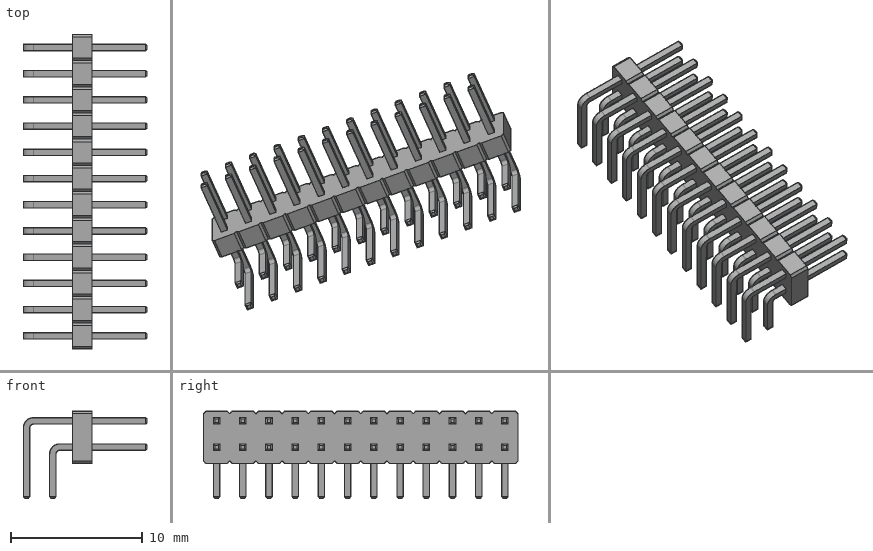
import cadquery as cq

length = 24.0
pin_count = 12
pitch = length / pin_count
row_spacing = pitch
housing_depth = 1.5
housing_height = 2 * row_spacing
cell_chamfer = 0.2

pin_width = 0.5
bend_inner_radius = 0.3
tip_chamfer = 0.12
overall_depth = 9.45
overall_height = 6.65
upper_tail_overhang = 3.75
upper_row_drop = 0.75

housing_back = -housing_depth / 2
upper_tail_x = housing_back - upper_tail_overhang + pin_width / 2
contact_end_x = upper_tail_x - pin_width / 2 + overall_depth
tail_end_z = housing_height - overall_height
upper_row_z = housing_height - upper_row_drop


def make_housing_cell():
    """One pitch of the housing, with its four edges along X chamfered."""
    cell = cq.Workplane("XY").box(housing_depth, pitch, housing_height, centered=(True, True, False))
    return cell.edges("|X").chamfer(cell_chamfer)


def make_pin(tail_x, contact_z):
    """A bent pin centred on Y = 0, given its tail axis and its contact axis."""
    half = pin_width / 2
    bend_outer_radius = bend_inner_radius + pin_width
    outer_x = tail_x - half
    inner_x = tail_x + half
    top_z = contact_z + half
    under_z = contact_z - half
    pin = (
        cq.Workplane("XZ")
        .moveTo(outer_x, tail_end_z)
        .lineTo(outer_x, top_z - bend_outer_radius)
        .radiusArc((outer_x + bend_outer_radius, top_z), bend_outer_radius)
        .lineTo(contact_end_x, top_z)
        .lineTo(contact_end_x, under_z)
        .lineTo(inner_x + bend_inner_radius, under_z)
        .radiusArc((inner_x, under_z - bend_inner_radius), -bend_inner_radius)
        .lineTo(inner_x, tail_end_z)
        .close()
        .extrude(half, both=True)
    )
    return pin.faces(">X or <Z").edges().chamfer(tip_chamfer)


upper_pin = make_pin(upper_tail_x, upper_row_z)
lower_pin = make_pin(upper_tail_x + row_spacing, upper_row_z - row_spacing)
position = make_housing_cell().union(upper_pin).union(lower_pin)

first_y = (pitch - length) / 2
result = position.translate((0, first_y, 0))
for index in range(1, pin_count):
    result = result.union(position.translate((0, first_y + index * pitch, 0)))